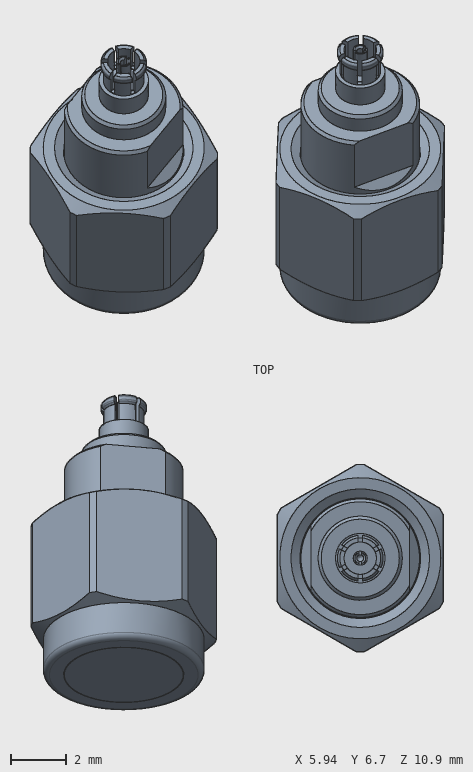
import cadquery as cq
import math

TOTAL_HEIGHT = 10.9

HEX_ACROSS_FLATS = 5.94
HEX_ACROSS_CORNERS = 6.7
NUT_TOP = 6.0
HEX_BOTTOM = 1.42
SKIRT_RADIUS = 2.88
SKIRT_FILLET = 0.22
NUT_BORE_RADIUS = 2.15
BORE_MOUTH_RADIUS = 2.47
NUT_CHAMFER_ANGLE = 30.0

BARREL_RADIUS = 2.13
BARREL_TOP = 8.3
COLLAR_RADIUS = 1.5
COLLAR_TOP = 9.0
STEP_CHAMFER = 0.11
NECK_RADIUS = 0.88
NECK_TOP = 9.83

WRENCH_ACROSS_FLATS = 3.52
WRENCH_FLAT_BOTTOM = 6.11
WRENCH_LEDGE_ANGLE = 35.0

COLLET_RADIUS = 0.73
COLLET_BORE_RADIUS = 0.58
LIP_RADIUS = 0.82
LIP_TOP_CHAMFER = 0.09
LIP_BASE = 10.55
LIP_TOP_FILLET = 0.04
LIP_UNDER_FILLET = 0.09
COLLET_SLOT_COUNT = 6
COLLET_SLOT_WIDTH = 0.16
COLLET_SLOT_FLOOR = 9.86

CONTACT_RADIUS = 0.25
CONTACT_BORE_RADIUS = 0.12
CONTACT_MOUTH_RADIUS = 0.2
CONTACT_SLOT_WIDTH = 0.1
CONTACT_SLOT_FLOOR = 10.17
DRILL_POINT_ANGLE = 118.0


def cylinder(radius, bottom, top):
    return cq.Workplane("XY").workplane(offset=bottom).circle(radius).extrude(top - bottom)


def revolved(profile):
    """Revolve a closed list of (radius, z) points about the Z axis."""
    return cq.Workplane("XZ").polyline(profile).close().revolve(360, (0, 0), (0, 1))


def build_nut():
    slope = math.tan(math.radians(NUT_CHAMFER_ANGLE))
    corner_radius = HEX_ACROSS_CORNERS / 2
    bevel_height = (corner_radius - SKIRT_RADIUS) * slope

    hexagon = (
        cq.Workplane("XY")
        .workplane(offset=HEX_BOTTOM)
        .polygon(6, HEX_ACROSS_FLATS, circumscribed=True)
        .extrude(NUT_TOP - HEX_BOTTOM)
    )
    bevelled_disc = revolved([
        (0, HEX_BOTTOM),
        (SKIRT_RADIUS, HEX_BOTTOM),
        (corner_radius, HEX_BOTTOM + bevel_height),
        (corner_radius, NUT_TOP - bevel_height),
        (SKIRT_RADIUS, NUT_TOP),
        (0, NUT_TOP),
    ])
    skirt = cylinder(SKIRT_RADIUS, 0, HEX_BOTTOM).faces("<Z").edges().fillet(SKIRT_FILLET)

    mouth_depth = (BORE_MOUTH_RADIUS - NUT_BORE_RADIUS) * slope
    bore = revolved([
        (0, 0),
        (NUT_BORE_RADIUS, 0),
        (NUT_BORE_RADIUS, NUT_TOP - mouth_depth),
        (BORE_MOUTH_RADIUS, NUT_TOP),
        (0, NUT_TOP),
    ])
    return hexagon.intersect(bevelled_disc).union(skirt).cut(bore)


def build_stepped_barrel():
    barrel = cylinder(BARREL_RADIUS, 0, BARREL_TOP).faces(">Z").chamfer(STEP_CHAMFER)
    collar = cylinder(COLLAR_RADIUS, BARREL_TOP, COLLAR_TOP).faces(">Z").chamfer(STEP_CHAMFER)
    neck = cylinder(NECK_RADIUS, COLLAR_TOP, NECK_TOP)
    return barrel.union(collar).union(neck)


def wrench_flat_cutter(side):
    """Material beyond one flat, ending in a ledge that slopes down outwards; side is +1 or -1."""
    flat = WRENCH_ACROSS_FLATS / 2
    ledge_drop = (BARREL_RADIUS - flat) * math.tan(math.radians(WRENCH_LEDGE_ANGLE))
    return (
        cq.Workplane("XZ")
        .moveTo(side * flat, BARREL_TOP)
        .lineTo(side * flat, WRENCH_FLAT_BOTTOM)
        .lineTo(side * BARREL_RADIUS, WRENCH_FLAT_BOTTOM - ledge_drop)
        .lineTo(side * BARREL_RADIUS, BARREL_TOP)
        .close()
        .extrude(BARREL_RADIUS, both=True)
    )


def round_rim(body, height, radius):
    """Fillet the circular edge of a round body that is centred on the axis at the given height."""
    rim = cq.selectors.NearestToPointSelector((0, 0, height))
    return body.edges(rim).fillet(radius)


def build_collet():
    lip_step = LIP_RADIUS - COLLET_RADIUS
    tube = cylinder(COLLET_RADIUS, NECK_TOP, LIP_BASE)
    lip = revolved([
        (0, LIP_BASE),
        (COLLET_RADIUS, LIP_BASE),
        (LIP_RADIUS, LIP_BASE + lip_step),
        (LIP_RADIUS, TOTAL_HEIGHT - LIP_TOP_CHAMFER),
        (LIP_RADIUS - LIP_TOP_CHAMFER, TOTAL_HEIGHT),
        (0, TOTAL_HEIGHT),
    ])
    lip = round_rim(lip, TOTAL_HEIGHT - LIP_TOP_CHAMFER, LIP_TOP_FILLET)
    lip = round_rim(lip, LIP_BASE + lip_step, LIP_UNDER_FILLET)

    collet = tube.union(lip).cut(cylinder(COLLET_BORE_RADIUS, NECK_TOP, TOTAL_HEIGHT))
    slot = (
        cq.Workplane("XY")
        .workplane(offset=COLLET_SLOT_FLOOR)
        .center(LIP_RADIUS / 2, 0)
        .rect(LIP_RADIUS, COLLET_SLOT_WIDTH)
        .extrude(TOTAL_HEIGHT - COLLET_SLOT_FLOOR)
    )
    pitch = 360 / COLLET_SLOT_COUNT
    for index in range(COLLET_SLOT_COUNT):
        angle = (index + 0.5) * pitch
        collet = collet.cut(slot.rotate((0, 0, 0), (0, 0, 1), angle))
    return collet


def build_contact():
    mouth_depth = CONTACT_MOUTH_RADIUS - CONTACT_BORE_RADIUS
    point_depth = CONTACT_BORE_RADIUS / math.tan(math.radians(DRILL_POINT_ANGLE / 2))
    socket = revolved([
        (0, CONTACT_SLOT_FLOOR - point_depth),
        (CONTACT_BORE_RADIUS, CONTACT_SLOT_FLOOR),
        (CONTACT_BORE_RADIUS, TOTAL_HEIGHT - mouth_depth),
        (CONTACT_MOUTH_RADIUS, TOTAL_HEIGHT),
        (0, TOTAL_HEIGHT),
    ])
    slot = (
        cq.Workplane("XY")
        .workplane(offset=CONTACT_SLOT_FLOOR)
        .rect(CONTACT_SLOT_WIDTH, 2 * CONTACT_RADIUS)
        .extrude(TOTAL_HEIGHT - CONTACT_SLOT_FLOOR)
    )
    return cylinder(CONTACT_RADIUS, NECK_TOP, TOTAL_HEIGHT).cut(socket).cut(slot)


def build_adapter():
    adapter = build_stepped_barrel()
    for side in (1, -1):
        adapter = adapter.cut(wrench_flat_cutter(side))
    return adapter.union(build_collet()).union(build_contact())


nut = build_nut()
adapter = build_adapter()

result = cq.Compound.makeCompound([nut.val(), adapter.val()])